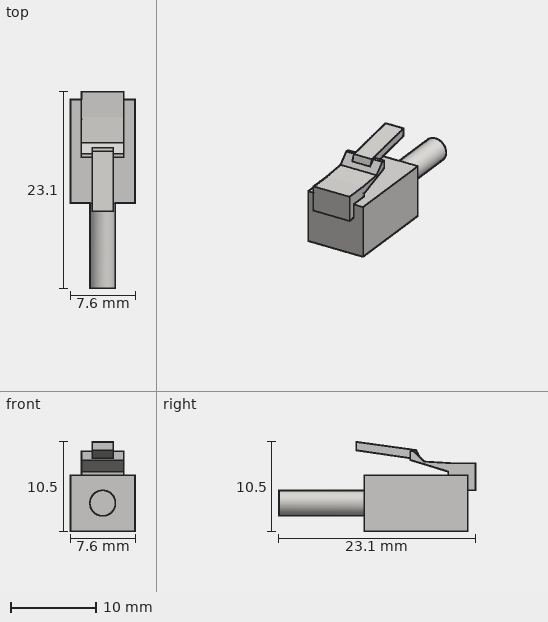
import cadquery as cq

total_length = 23.1
total_height = 10.5

body_width = 7.6
body_length = 12.2
body_height = 6.6

cable_diameter = 3.0
cable_axis_height = body_height / 2

nose_overhang = 0.9
nose_drop = 1.8
nose_height = 1.4
flat_length = 3.0
root_length = 3.23
root_gap = 0.4
latch_width = 5.0
ramp_start = 6.0
ramp_start_height = 1.6
lip_start = 7.28
lip_end = 7.7
lip_height = 2.8
lip_bottom = 1.75

lever_width = latch_width / 2
lever_start = 6.58
lever_shoulder = 6.98
lever_shoulder_height = 2.93
lever_end = 14.02
lever_tip_thickness = 1.02
lever_root_bottom = 1.96
lever_tip_height = total_height - body_height

body_front = -nose_overhang
body_rear = body_front - body_length
cable_length = total_length - nose_overhang - body_length


def side_extrusion(outline, width):
    """Extrude (distance behind nose, height above body top) points, centred on X."""
    points = [(-distance, body_height + height) for distance, height in outline]
    return cq.Workplane("YZ").polyline(points).close().extrude(width / 2, both=True)


def make_body():
    block = cq.Workplane("XY").box(body_width, body_length, body_height, centered=(True, False, False))
    return block.translate((0, body_rear, 0))


def make_cable():
    plane = cq.Workplane("XZ", origin=(0, body_rear, cable_axis_height))
    return plane.circle(cable_diameter / 2).extrude(cable_length)


def make_latch():
    outline = [
        (0, -nose_drop),
        (0, nose_height),
        (flat_length, nose_height),
        (ramp_start, ramp_start_height),
        (lip_start, lip_height),
        (lip_end, lip_height),
        (lip_end, lip_bottom),
        (root_length, root_gap),
        (root_length, -nose_drop),
    ]
    return side_extrusion(outline, latch_width)


def make_lever():
    ramp_slope = (lip_height - ramp_start_height) / (lip_start - ramp_start)
    start_height = ramp_start_height + ramp_slope * (lever_start - ramp_start)
    outline = [
        (lever_start, start_height),
        (lever_shoulder, lever_shoulder_height),
        (lever_end, lever_tip_height),
        (lever_end, lever_tip_height - lever_tip_thickness),
        (lip_end, lever_root_bottom),
    ]
    return side_extrusion(outline, lever_width)


result = make_body().union(make_cable()).union(make_latch()).union(make_lever())